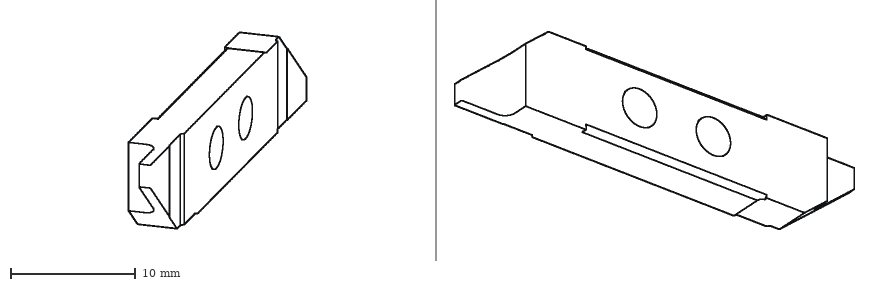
import cadquery as cq
import math

LENGTH = 40.0
HEIGHT = 8.0
THICKNESS = 3.6

TIP_HEIGHT = 1.95
SLOPE_ANGLE = 40.0
LAND_DROP = 0.2
STEP_Y = 9.1
STEP_LENGTH = 0.5
STEP_RADIUS = 1.0

SHOULDER_Y = 15.35
TIP_NEAR_X = 0.62
TIP_FAR_X = 1.6
SHOULDER_RADIUS = 1.0
CORNER_RADIUS = 0.1
RELIEF_DEPTH = 0.25
RELIEF_INNER_Y = 11.9
RELIEF_OUTER_Y = 15.0

CHAMFER = 0.5
CHAMFER_END_Y = 9.2
HOLE_DIAMETER = 3.5
HOLE_SPACING = 7.5

HALF_LENGTH = LENGTH / 2
HALF_HEIGHT = HEIGHT / 2
HALF_THICKNESS = THICKNESS / 2


def side_prism():
    """Outline seen along X, point-symmetric about the centre, extruded through the thickness."""
    land_z = HALF_HEIGHT - LAND_DROP
    tip_z = TIP_HEIGHT - HALF_HEIGHT
    slope_top_y = HALF_LENGTH - (land_z - tip_z) / math.tan(math.radians(SLOPE_ANGLE))
    outline = cq.Workplane("YZ").moveTo(HALF_LENGTH, -HALF_HEIGHT)
    for sign in (1, -1):
        outline = (
            outline.lineTo(sign * HALF_LENGTH, sign * tip_z)
            .lineTo(sign * slope_top_y, sign * land_z)
            .lineTo(sign * STEP_Y, sign * land_z)
            .radiusArc((sign * (STEP_Y - STEP_LENGTH), sign * HALF_HEIGHT), STEP_RADIUS)
            .lineTo(-sign * HALF_LENGTH, sign * HALF_HEIGHT)
        )
    return outline.close().extrude(HALF_THICKNESS, both=True)


def plan_prism():
    """Outline seen along Z, mirrored about Y = 0, extruded through the height."""
    relief_x = HALF_THICKNESS - RELIEF_DEPTH
    arc_centre_x = TIP_NEAR_X - SHOULDER_RADIUS
    arc_centre_y = SHOULDER_Y + SHOULDER_RADIUS
    arc_offset = SHOULDER_RADIUS * math.sqrt(0.5)
    half_plan = (
        cq.Workplane("XY")
        .moveTo(-HALF_THICKNESS, 0)
        .lineTo(-HALF_THICKNESS, SHOULDER_Y)
        .lineTo(arc_centre_x, SHOULDER_Y)
        .threePointArc(
            (arc_centre_x + arc_offset, arc_centre_y - arc_offset),
            (TIP_NEAR_X, arc_centre_y),
        )
        .lineTo(TIP_NEAR_X, HALF_LENGTH - CORNER_RADIUS)
        .radiusArc((TIP_NEAR_X + CORNER_RADIUS, HALF_LENGTH), CORNER_RADIUS)
        .lineTo(TIP_FAR_X - CORNER_RADIUS, HALF_LENGTH)
        .radiusArc((TIP_FAR_X, HALF_LENGTH - CORNER_RADIUS), CORNER_RADIUS)
        .lineTo(TIP_FAR_X, RELIEF_OUTER_Y)
        .lineTo(relief_x, RELIEF_OUTER_Y)
        .lineTo(relief_x, RELIEF_INNER_Y + RELIEF_DEPTH)
        .lineTo(HALF_THICKNESS, RELIEF_INNER_Y)
        .lineTo(HALF_THICKNESS, 0)
        .close()
        .extrude(HALF_HEIGHT, both=True)
    )
    return half_plan.union(half_plan.mirror("XZ"))


def edge_chamfer(side):
    """Cutter for the -X edge at the top (side = 1) or bottom (side = -1)."""
    edge_z = side * HALF_HEIGHT
    return (
        cq.Workplane("XZ")
        .polyline([
            (-HALF_THICKNESS, edge_z),
            (-HALF_THICKNESS + CHAMFER, edge_z),
            (-HALF_THICKNESS, edge_z - side * CHAMFER),
        ])
        .close()
        .extrude(CHAMFER_END_Y, both=True)
    )


def mounting_holes():
    """Two through holes along X."""
    return (
        cq.Workplane("YZ", origin=(-HALF_THICKNESS, 0, 0))
        .pushPoints([(-HOLE_SPACING / 2, 0), (HOLE_SPACING / 2, 0)])
        .circle(HOLE_DIAMETER / 2)
        .extrude(THICKNESS)
    )


result = side_prism().intersect(plan_prism())
for edge_side in (1, -1):
    result = result.cut(edge_chamfer(edge_side))
result = result.cut(mounting_holes())